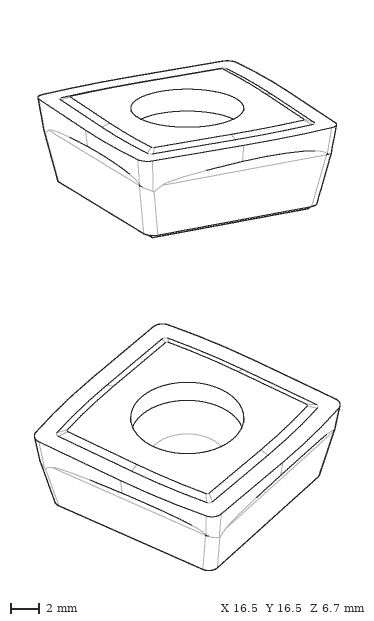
import cadquery as cq
import math

half_width = 8.25
height = 6.7
rim_height = 6.48

bend_radius = 54.12
bend_start = 0.3
corner_radius = 0.82
upper_relief = math.radians(8)
root_corner_radius = 0.58

lower_turn = 2.0
lower_half_width = 6.96
lower_corner_radius = 0.75
lower_relief = math.radians(11)
foot_height = 0.4
foot_half_width = 6.67
foot_slope_width = 0.38
ledge_height = 4.4
ledge_radius = 2.23
ledge_end_lean = math.radians(60)

pad_inset = 1.32
pad_slope_width = 0.61
pad_base_corner = 0.33
pad_top_corner = 0.16

bore_radius = 2.77
head_radius = 4.01
head_depth = 1.65
seat_depth = 2.06


def turned(point, quarter):
    """Turn a point clockwise about the origin by a number of quarter turns."""
    x, y = point
    for _ in range(quarter):
        x, y = y, -x
    return x, y


def outline(z, inset, radius):
    """Cutting outline moved inwards by inset, with the given corner radius."""
    half = half_width - inset
    center_x = -(half - radius)
    bend_center_y = half_width - bend_radius
    reach = bend_radius - inset - radius
    center_y = bend_center_y + math.sqrt(reach**2 - (center_x + bend_start) ** 2)
    bend_angle = math.asin((-bend_start - center_x) / reach)
    half_turn = (math.pi / 2 - bend_angle) / 2

    def on_corner(angle):
        return (center_x - radius * math.sin(angle), center_y + radius * math.cos(angle))

    def on_bend(angle):
        bend = bend_radius - inset
        return (-bend_start - bend * math.sin(angle), bend_center_y + bend * math.cos(angle))

    wire = cq.Workplane("XY", origin=(0, 0, z)).moveTo(-half, center_y)
    for quarter in range(4):
        corner_middle = turned(on_corner(bend_angle + half_turn), quarter)
        corner_end = turned(on_corner(bend_angle), quarter)
        bend_middle = turned(on_bend(bend_angle / 2), quarter)
        bend_end = turned((-bend_start, half), quarter)
        straight_end = turned((-half, center_y), quarter + 1)
        wire = wire.threePointArc(corner_middle, corner_end)
        wire = wire.threePointArc(bend_middle, bend_end)
        wire = wire.lineTo(*straight_end)
    return wire.close().wires().val()


def lower_square(z, half):
    """Turned, rounded square of the lower body."""
    block = cq.Workplane("XY").rect(2 * half, 2 * half).extrude(0.16).edges("|Z").fillet(lower_corner_radius)
    wire = block.faces("<Z").wires().val()
    return wire.rotate(cq.Vector(0, 0, 0), cq.Vector(0, 0, 1), lower_turn).translate(cq.Vector(0, 0, z))


def ruled(bottom, top):
    """Solid with straight walls between two closed outlines."""
    return cq.Workplane(cq.Solid.makeLoft([bottom, top], True))


def relieved_outline():
    """Full-depth block below the cutting edge, leaning in by the upper relief."""
    root_inset = rim_height * math.tan(upper_relief)
    return ruled(outline(0, root_inset, root_corner_radius), outline(rim_height, 0, corner_radius))


def foot():
    """Sharp-cornered square foot with sides sloping in to the bottom face."""
    top_width = 2 * foot_half_width
    bottom_width = top_width - 2 * foot_slope_width
    sections = cq.Workplane("XY").rect(bottom_width, bottom_width)
    sections = sections.workplane(offset=foot_height).rect(top_width, top_width)
    return sections.loft(ruled=True).rotate((0, 0, 0), (0, 0, 1), lower_turn)


def ledge_cutters(ledge_half):
    """Four bars, one per side, each shaping the concave ledge under the cutting edge."""
    center_x = ledge_half + ledge_radius * math.cos(lower_relief)
    center_z = ledge_height - ledge_radius * math.sin(lower_relief)
    tip_x = center_x - ledge_radius * math.cos(ledge_end_lean)
    tip_z = center_z + ledge_radius * math.sin(ledge_end_lean)
    bar = (
        cq.Workplane("XZ")
        .moveTo(ledge_half, ledge_height)
        .radiusArc((tip_x, tip_z), ledge_radius)
        .lineTo(tip_x, ledge_height)
        .close()
        .extrude(half_width, both=True)
    )
    return [bar.rotate((0, 0, 0), (0, 0, 1), lower_turn + 90 * quarter) for quarter in range(4)]


def lower_envelope():
    """Foot, tapered body and a block above it hollowed into ledges, limiting the sides."""
    ledge_half = lower_half_width + (ledge_height - foot_height) * math.tan(lower_relief)
    body_bottom = lower_square(foot_height, lower_half_width)
    body = ruled(body_bottom, lower_square(ledge_height, ledge_half))
    block = cq.Workplane("XY", origin=(0, 0, ledge_height)).rect(2 * half_width, 2 * half_width)
    upper = block.extrude(height - ledge_height)
    for cutter in ledge_cutters(ledge_half):
        upper = upper.cut(cutter)
    return foot().union(body).union(upper)


def pad():
    """Raised pad with sloping sides."""
    base = outline(rim_height, pad_inset, pad_base_corner)
    return ruled(base, outline(height, pad_inset + pad_slope_width, pad_top_corner))


def screw_hole():
    """Through bore, convex seat tangent to the bore, and straight head recess."""
    seat_width = head_radius - bore_radius
    seat_top = height - head_depth
    seat_bottom = seat_top - seat_depth
    return (
        cq.Workplane("XZ")
        .lineTo(bore_radius, 0)
        .lineTo(bore_radius, seat_bottom)
        .tangentArcPoint((seat_width, seat_depth))
        .lineTo(head_radius, height)
        .lineTo(0, height)
        .close()
        .revolve(360, (0, 0), (0, 1))
    )


result = relieved_outline().intersect(lower_envelope()).union(pad()).cut(screw_hole())